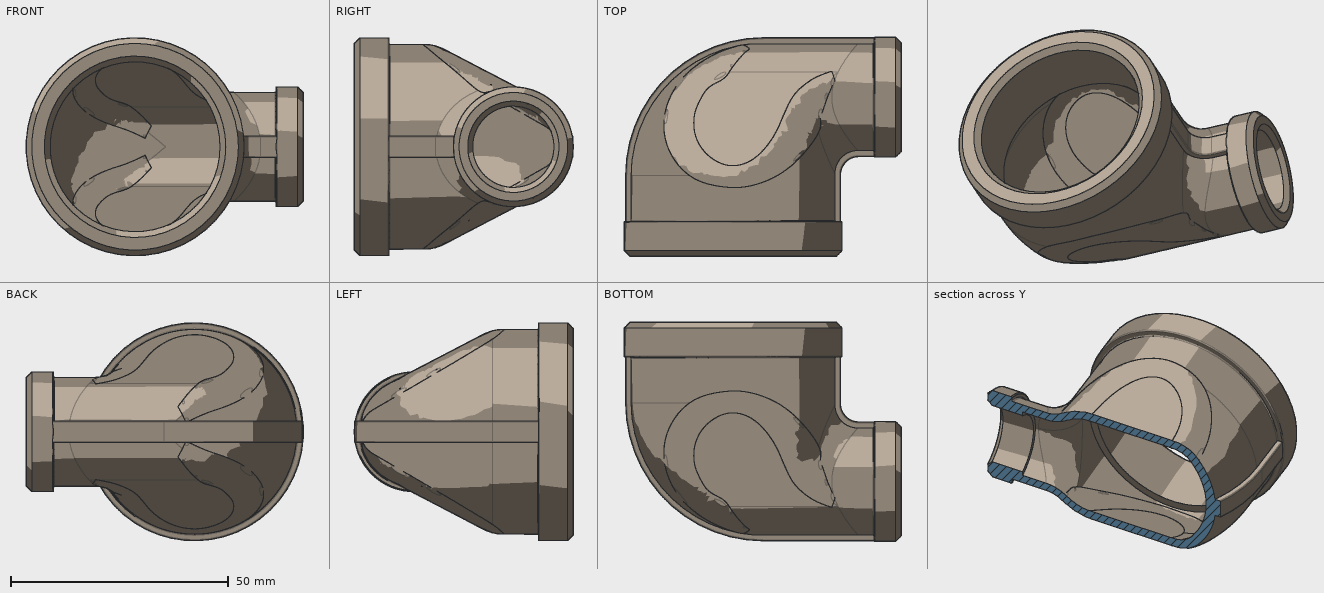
import cadquery as cq
import math


large_end_y = -36.5
large_collar_radius = 25.0
large_collar_length = 8.0
large_body_radius = 23.5
large_mouth_diameter = 41.6
large_bore_diameter = 38.95
large_bore_depth = 15.2

small_end_x = 38.6
small_collar_radius = 13.75
small_collar_length = 6.3
small_body_radius = 12.5
small_mouth_diameter = 20.955
small_bore_diameter = 18.63
small_bore_depth = 9.0

collar_chamfer = 1.3
edge_round = 0.25
rib_width = 5.0
rib_height = 1.15

cavity_diameter = 42.6
wall = large_body_radius - cavity_diameter / 2
bend_x = 7.0
bend_y = small_body_radius - large_body_radius - bend_x
throat_round = 5.3

roof_slope = math.radians(27.5)
roof_round = 8.5
roof_sections_per_stretch = 7
roof_start_angle = math.radians(25)
cutter_overshoot = 2.0
ball_sink = 0.005

reach = 90.0
straight_top_y = 20.0
shoulder_height = 6.0


def vector(x, y, z):
    return cq.Vector(x, y, z)


def bisect(function, low, high):
    """Root of a function that is negative at low and positive at high."""
    for _ in range(50):
        middle = (low + high) / 2
        if function(middle) < 0:
            low = middle
        else:
            high = middle
    return (low + high) / 2


def spread(start, end):
    """Evenly spaced values from start up to, but not including, end."""
    count = roof_sections_per_stretch
    return [start + (end - start) * step / count for step in range(count)]



ball_large_radius = large_body_radius - roof_round
ball_small_radius = small_body_radius - roof_round
roof_normal = vector(0, math.sin(roof_slope), math.cos(roof_slope))


def roof_y(z):
    """Y of the ball centre when it touches the roof plane at height z."""
    return (ball_small_radius - z * math.cos(roof_slope)) / math.sin(roof_slope)


def bend_contact(y, z, first_normal):
    """Ball centre at the given y and z with the ball touching the bend."""
    ring_radius = bend_x + math.sqrt(ball_large_radius**2 - z**2)
    x = bend_x - math.sqrt(ring_radius**2 - (y - bend_y) ** 2)
    toward_ball = vector(x - bend_x, y - bend_y, 0).normalized()
    circle_centre = vector(bend_x, bend_y, 0) + toward_ball * bend_x
    centre = vector(x, y, z)
    return centre, first_normal, (centre - circle_centre).normalized()


def tip_contact(angle):
    """Ball touching the small body, at an angle from +Y about the X axis, and the bend."""
    normal = vector(0, math.cos(angle), math.sin(angle))
    return bend_contact(normal.y * ball_small_radius, normal.z * ball_small_radius, normal)


def bend_roof_contact(z):
    return bend_contact(roof_y(z), z, roof_normal)


def body_roof_contact(angle):
    """Ball touching the roof and the large body, at an angle from +Z about the Y axis."""
    normal = vector(math.sin(angle), 0, math.cos(angle))
    z = ball_large_radius * normal.z
    return vector(ball_large_radius * normal.x, roof_y(z), z), roof_normal, normal


def throat_frame(angle):
    """Centre of the throat round and its directions away from the large and small axes."""
    large_reach = large_body_radius + throat_round
    small_reach = small_body_radius + throat_round
    y = -small_reach * math.cos(angle)
    z = small_reach * math.sin(angle)
    x = math.sqrt(large_reach**2 - z**2)
    return vector(x, y, z), vector(x, 0, z).normalized(), vector(0, y, z).normalized()


def roof_gap(point):
    return point.dot(roof_normal) - ball_small_radius


def throat_start_gap(angle):
    centre, from_large, _ = throat_frame(angle)
    return roof_gap(centre - from_large * (throat_round + roof_round))


def throat_roof_contact(angle):
    """Ball touching the roof and the throat round."""
    centre, from_large, from_small = throat_frame(angle)

    def direction(share):
        return (from_large * (1 - share) + from_small * share).normalized()

    def ball_centre(share):
        return centre - direction(share) * (throat_round + roof_round)

    share = bisect(lambda value: -roof_gap(ball_centre(value)), 0, 1)
    return ball_centre(share), roof_normal, direction(share)


def roof_contacts():
    """Ball positions along the roof edge, from the tip by the bend to the throat."""
    seam_z = (ball_small_radius - bend_y * math.sin(roof_slope)) / math.cos(roof_slope)
    seam_angle = -math.acos(seam_z / ball_large_radius)
    tip_end = math.pi / 2 - roof_slope
    throat_end = math.pi / 2 + roof_slope
    throat_start = bisect(throat_start_gap, 0, math.pi / 2)
    _, start_normal, _ = throat_frame(throat_start)
    body_end = math.atan2(start_normal.x, start_normal.z)
    contacts = [tip_contact(angle) for angle in spread(roof_start_angle, tip_end)]
    contacts += [bend_roof_contact(z) for z in spread(ball_small_radius * roof_normal.z, seam_z)]
    contacts += [body_roof_contact(angle) for angle in spread(seam_angle, body_end)]
    contacts += [throat_roof_contact(angle) for angle in spread(throat_start, throat_end)]
    return contacts


def rounding_section(contact, ball_radius):
    """Outline between the ball and the two faces it touches, carried a little outside them.

    The ball is sunk by ball_sink so that its surface crosses both faces cleanly.
    """
    ball_centre, first_normal, second_normal = contact
    middle = (first_normal + second_normal).normalized()
    sideways = (first_normal - second_normal).normalized()
    touch_angle = first_normal.getAngle(second_normal) / 2
    centre = ball_centre - middle * (ball_sink / math.cos(touch_angle))
    half_angle = touch_angle + 2 * math.acos(1 - ball_sink / ball_radius)
    outer_radius = ball_radius + cutter_overshoot

    def at(radius, side):
        along = middle * math.cos(half_angle) + sideways * (side * math.sin(half_angle))
        return centre + along * radius

    crown = centre + middle * ball_radius
    outer_corner = centre + middle * (outer_radius / math.cos(half_angle))
    return cq.Wire.assembleEdges(
        [
            cq.Edge.makeThreePointArc(at(ball_radius, 1), crown, at(ball_radius, -1)),
            cq.Edge.makeLine(at(ball_radius, -1), at(outer_radius, -1)),
            cq.Edge.makeLine(at(outer_radius, -1), outer_corner),
            cq.Edge.makeLine(outer_corner, at(outer_radius, 1)),
            cq.Edge.makeLine(at(outer_radius, 1), at(ball_radius, 1)),
        ]
    )


def roof_rounding(inset):
    """Cutters that round the upper and the lower roof edge."""
    sections = [rounding_section(contact, roof_round - inset) for contact in roof_contacts()]
    upper = cq.Workplane(obj=cq.Solid.makeLoft(sections))
    return [upper, upper.mirror("XY")]




def straight_runs(inset, large_start_y, small_stop_x):
    """Large and small cylinders joined by the throat round."""
    large = (
        cq.Workplane("XZ", origin=(0, large_start_y, 0))
        .circle(large_body_radius - inset)
        .extrude(large_start_y - straight_top_y)
    )
    shoulder_y = bend_y + shoulder_height
    kept = (
        cq.Workplane("XY")
        .polyline(
            [
                (-reach, -reach),
                (reach, -reach),
                (reach, reach),
                (bend_x, reach),
                (bend_x, shoulder_y),
                (0, shoulder_y),
                (0, bend_y),
                (-reach, bend_y),
            ]
        )
        .close()
        .extrude(reach, both=True)
    )
    small = (
        cq.Workplane("YZ", origin=(bend_x, 0, 0))
        .circle(small_body_radius - inset)
        .extrude(small_stop_x - bend_x)
    )
    runs = large.intersect(kept).union(small)
    throat = [
        edge
        for edge in runs.edges().vals()
        if edge.geomType() not in ("LINE", "CIRCLE") and edge.Center().x > bend_x
    ]
    return runs.newObject(throat).fillet(throat_round + inset)


def bend(inset):
    """Quarter turn of the part of the large body that lies left of the bend line."""
    radius = large_body_radius - inset
    half_height = math.sqrt(radius**2 - bend_x**2)
    turn = (
        cq.Workplane("XZ", origin=(bend_x, bend_y, 0))
        .moveTo(0, -half_height)
        .threePointArc((-bend_x - radius, 0), (0, half_height))
        .close()
        .revolve(90, (0, 0, 0), (0, -1, 0))
    )
    shoulder = (
        cq.Workplane("XY", origin=(0, bend_y, 0))
        .rect(2 * bend_x, 2 * shoulder_height)
        .extrude(reach, both=True)
        .intersect(cq.Workplane("XY", origin=(reach / 2, 0, 0)).box(reach, reach, reach))
    )
    return turn.cut(shoulder)


def roof_envelope(inset):
    """Wedge between the roof planes, closed on +Y by the small body."""
    radius = small_body_radius - inset
    touch_y = radius * math.sin(roof_slope)
    touch_z = radius * math.cos(roof_slope)
    far_y = touch_y - reach * math.cos(roof_slope)
    far_z = touch_z + reach * math.sin(roof_slope)
    return (
        cq.Workplane("YZ", origin=(-reach, 0, 0))
        .moveTo(far_y, -far_z)
        .lineTo(touch_y, -touch_z)
        .threePointArc((radius, 0), (touch_y, touch_z))
        .lineTo(far_y, far_z)
        .close()
        .extrude(2 * reach)
    )


def elbow_core(inset, large_start_y, small_stop_x):
    envelope = roof_envelope(inset)
    runs = straight_runs(inset, large_start_y, small_stop_x).intersect(envelope)
    core = runs.union(bend(inset).intersect(envelope)).clean()
    for cutter in roof_rounding(inset):
        core = core.cut(cutter)
    return core




def revolved(profile):
    """Solid of a profile drawn as (distance along, radius) and turned about its first axis."""
    return profile.close().revolve(360, (0, 0, 0), (1, 0, 0))


def on_large_axis(solid):
    """Carry a solid turned about X, with X = 0 at its open end, onto the large socket."""
    return solid.rotate((0, 0, 0), (0, 0, 1), -90).translate((0, large_end_y, 0))


def on_small_axis(solid):
    return solid.translate((small_end_x, 0, 0))


def collar(radius, length, body_radius):
    """Collar running toward -X from its open end, with a rounded rim and a rounded root."""
    rounding_middle = edge_round * math.sqrt(0.5)
    profile = (
        cq.Workplane("XY")
        .lineTo(0, radius - collar_chamfer)
        .lineTo(-collar_chamfer, radius)
        .lineTo(edge_round - length, radius)
        .threePointArc(
            (edge_round - length - rounding_middle, radius - edge_round + rounding_middle),
            (-length, radius - edge_round),
        )
        .lineTo(-length, body_radius + edge_round)
        .threePointArc(
            (
                -length - edge_round + rounding_middle,
                body_radius + edge_round - rounding_middle,
            ),
            (-length - edge_round, body_radius),
        )
        .lineTo(-length - edge_round, 0)
    )
    return revolved(profile)


def threaded_bore(bore_diameter, mouth_diameter, depth):
    """Plain bore at the thread's core diameter with a 45 degree mouth."""
    bore_radius = bore_diameter / 2
    mouth_radius = mouth_diameter / 2
    profile = (
        cq.Workplane("XY")
        .lineTo(0, mouth_radius)
        .lineTo(bore_radius - mouth_radius, bore_radius)
        .lineTo(-depth, bore_radius)
        .lineTo(-depth, 0)
    )
    return revolved(profile)


def rib():
    """Flat plate in the plane of the bend that stands proud of the elbow all round."""
    left_x = -large_body_radius - rib_height
    right_x = large_body_radius + rib_height
    upper_y = small_body_radius + rib_height
    lower_y = -upper_y
    start_y = large_end_y + large_collar_length / 2
    stop_x = small_end_x - small_collar_length + edge_round
    outer_radius = bend_x - left_x
    inner_radius = throat_round - rib_height
    plate = (
        cq.Workplane("XY")
        .moveTo(left_x, start_y)
        .lineTo(left_x, bend_y)
        .radiusArc((bend_x, upper_y), outer_radius)
        .lineTo(stop_x, upper_y)
        .lineTo(stop_x, lower_y)
        .lineTo(right_x + inner_radius, lower_y)
        .radiusArc((right_x, lower_y - inner_radius), -inner_radius)
        .lineTo(right_x, start_y)
        .close()
        .extrude(rib_width / 2, both=True)
    )
    return plate.faces("|Z").edges().fillet(edge_round)


def elbow():
    large_collar = collar(large_collar_radius, large_collar_length, large_body_radius)
    small_collar = collar(small_collar_radius, small_collar_length, small_body_radius)
    large_bore = threaded_bore(large_bore_diameter, large_mouth_diameter, large_bore_depth)
    small_bore = threaded_bore(small_bore_diameter, small_mouth_diameter, small_bore_depth)
    core = elbow_core(
        0,
        large_end_y + large_collar_length / 2,
        small_end_x - small_collar_length / 2,
    )
    cavity = elbow_core(wall, large_end_y + large_bore_depth, small_end_x - small_bore_depth)
    return (
        core.union(rib())
        .union(on_large_axis(large_collar))
        .union(on_small_axis(small_collar))
        .cut(cavity)
        .cut(on_large_axis(large_bore))
        .cut(on_small_axis(small_bore))
    )


result = elbow()